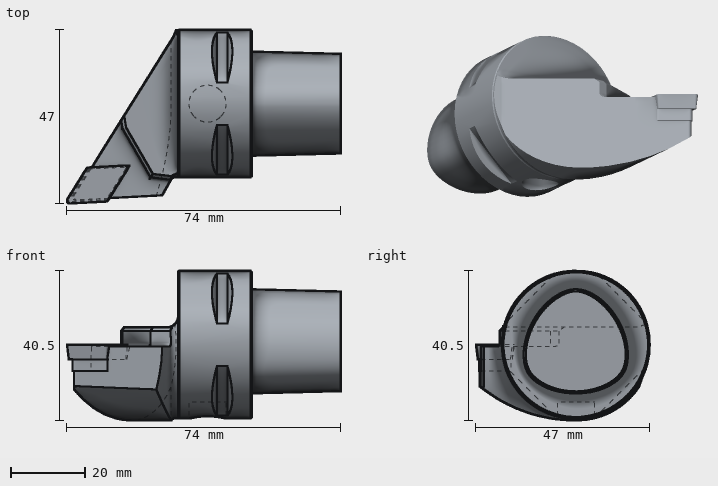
import cadquery as cq
import math


reach = 60.0

collar_radius = 20.0
collar_length = 20.0
collar_chamfer = 0.45
collar_front_chamfer_depth = 0.2
groove_center_x = -8.05
groove_floor_width = 2.75
groove_floor_radius = 17.6
groove_wall_angle = math.radians(30)
groove_count = 4
groove_overcut = 1.0
chip_hole_diameter = 10.0
chip_hole_x = -12.0
chip_hole_depth = 4.5

shank_length = 24.0
shank_radius = 14.1
shank_taper = 1 / 20
shank_end_radius = shank_radius - shank_length * shank_taper / 2
shank_lobe = 0.9
lobe_count = 3
shank_points = 24 * lobe_count

head_radius = 20.5
head_flank_radius = 2 * head_radius
flank_sweep = math.radians(45)
neck_radius = 19.9
neck_start_x = -21.5
neck_fillet = 1.2
head_back_slope = 0.56
deck_z = 4.72
deck_fillet = 2.9

ledge_z = -0.45
step_chamfer = 1.0
step_fillet = 0.9
step_corners = [(-34.96, -6.8), (-27.4, -19.9)]
step_top_angle = math.radians(99)
step_side_angle = math.radians(-7)

tip_x = -50.0
tip_y = -27.0
side_angle = math.radians(3)
nose_angle = math.radians(55)
lead_angle = side_angle + nose_angle
inscribed_diameter = 9.525
edge_length = inscribed_diameter / math.sin(nose_angle)
nose_radius = 0.8
insert_thickness = 3.97
clearance_angle = 7.0

seat_bottom_z = -7.15
seat_setback = 0.8
seat_back_setback = 0.3
lead_face_setback = 1.05
side_face_setback = 0.9

relief_angle = math.radians(67)
relief_start_y = 18.0


def move(point, angle, distance):
    """Point reached by going a distance from a point in the given direction of the XY plane."""
    return (point[0] + distance * math.cos(angle), point[1] + distance * math.sin(angle))


def rhombus(corner, side_length, lead_length):
    """Corners of a parallelogram whose edges run along the side and lead directions."""
    side_end = move(corner, side_angle, side_length)
    return [corner, side_end, move(side_end, lead_angle, lead_length), move(corner, lead_angle, lead_length)]


def set_back(corner, side_distance, lead_distance):
    """Corner shifted so that the side and lead edges through it move inward by the distances."""
    raised = move(corner, lead_angle, side_distance / math.sin(nose_angle))
    return move(raised, side_angle, lead_distance / math.sin(nose_angle))


nose_center = (tip_x + nose_radius, tip_y + nose_radius)
nose_corner = move(nose_center, side_angle + nose_angle / 2 + math.pi, nose_radius / math.sin(nose_angle / 2))
far_corner = rhombus(nose_corner, edge_length, edge_length)[2]


def shank_section(radius):
    points = []
    for i in range(shank_points):
        t = 2 * math.pi * i / shank_points
        width = radius + shank_lobe * math.cos(lobe_count * t)
        turn = lobe_count * shank_lobe * math.sin(lobe_count * t)
        along_lobe = width * math.cos(t) + turn * math.sin(t)
        across_lobe = width * math.sin(t) - turn * math.cos(t)
        points.append((across_lobe, along_lobe))
    return points


def make_shank():
    base = cq.Workplane("YZ").spline(shank_section(shank_radius), periodic=True).close()
    end = base.workplane(offset=shank_length).spline(shank_section(shank_end_radius), periodic=True).close()
    return end.loft(ruled=True, combine=True)


def make_collar():
    collar = cq.Workplane("YZ").circle(collar_radius).extrude(-collar_length)
    collar = collar.faces(">X").chamfer(collar_chamfer)
    collar = collar.faces("<X").chamfer(collar_chamfer, collar_front_chamfer_depth)

    height = collar_radius + groove_overcut - groove_floor_radius
    half_floor = groove_floor_width / 2
    half_mouth = half_floor + height * math.tan(groove_wall_angle)
    groove = (
        cq.Workplane("XZ", origin=(groove_center_x, 0, groove_floor_radius))
        .polyline([(-half_floor, 0), (half_floor, 0), (half_mouth, height), (-half_mouth, height)])
        .close()
        .extrude(collar_radius, both=True)
    )
    pitch = 360 / groove_count
    for i in range(groove_count):
        collar = collar.cut(groove.rotate((0, 0, 0), (1, 0, 0), (i + 0.5) * pitch))

    chip_hole = (
        cq.Workplane("XY", origin=(chip_hole_x, 0, -collar_radius))
        .circle(chip_hole_diameter / 2)
        .extrude(chip_hole_depth)
    )
    return collar.cut(chip_hole)


def head_section():
    def flank_point(angle):
        y = -head_flank_radius * math.sin(angle)
        return (y, head_flank_radius * (1 - math.cos(angle)) - head_radius)

    flank_end = flank_point(flank_sweep)
    circle_middle = head_radius * math.sqrt(0.5)
    return (
        cq.Workplane("YZ", origin=(-collar_length, 0, 0))
        .moveTo(head_radius, 0)
        .threePointArc((circle_middle, -circle_middle), (0, -head_radius))
        .threePointArc(flank_point(flank_sweep / 2), flank_end)
        .lineTo(flank_end[0], head_radius)
        .lineTo(head_radius, head_radius)
        .close()
        .extrude(-reach)
    )


def head_plan():
    """Prism bounded by the lead and side faces, rounded where they meet."""
    corner = set_back(nose_corner, side_face_setback, lead_face_setback)
    relief_start_distance = (relief_start_y - corner[1]) / math.sin(lead_angle)
    relief_start = move(corner, lead_angle, relief_start_distance)
    side_end = move(corner, side_angle, reach)
    plan = [
        corner,
        side_end,
        (side_end[0], reach),
        move(relief_start, relief_angle, reach),
        relief_start,
    ]
    prism = cq.Workplane("XY").polyline(plan).close().extrude(head_radius * 2, both=True)
    return prism.edges(cq.selectors.NearestToPointSelector((*corner, 0))).fillet(nose_radius)


def head_back_envelope():
    """Turned shape of the head's conical back and the neck in front of the collar."""
    profile = [
        (-reach, 0),
        (-reach, reach),
        (neck_start_x - head_back_slope * (reach - neck_radius), reach),
        (neck_start_x, neck_radius),
        (-collar_length, neck_radius),
        (-collar_length, 0),
    ]
    envelope = cq.Workplane("XY").polyline(profile).close().revolve(360, (0, 0, 0), (1, 0, 0))
    neck_edge = cq.selectors.NearestToPointSelector((neck_start_x, 0, 0))
    return envelope.edges("%CIRCLE").edges(neck_edge).fillet(neck_fillet)


def above_deck():
    """Space above the deck, rounded where the deck runs into the collar face."""
    inner = deck_fillet * (1 - math.sqrt(0.5))
    return (
        cq.Workplane("XZ")
        .moveTo(-reach, deck_z)
        .lineTo(-collar_length - deck_fillet, deck_z)
        .threePointArc((-collar_length - inner, deck_z + inner), (-collar_length, deck_z + deck_fillet))
        .lineTo(-collar_length, reach)
        .lineTo(-reach, reach)
        .close()
        .extrude(reach, both=True)
    )


def step_edges(solid, z):
    """Edges of the step's three walls at the given height."""
    side_middle = move(step_corners[1], step_side_angle, reach / 2)
    top_middle = move(step_corners[0], step_top_angle, reach / 2)
    wall_middle = tuple((a + b) / 2 for a, b in zip(*step_corners))
    edges = solid.newObject([])
    for middle in (top_middle, wall_middle, side_middle):
        edges = edges.add(solid.edges(cq.selectors.NearestToPointSelector((*middle, z))))
    return edges


def stepped_top():
    """Ledge with a raised plate beside it: chamfered on top and filleted into the ledge."""
    side_end = move(step_corners[1], step_side_angle, reach)
    top_end = move(step_corners[0], step_top_angle, reach)
    plan = [top_end, *step_corners, side_end, (side_end[0], top_end[1])]
    plate = cq.Workplane("XY", origin=(0, 0, ledge_z)).polyline(plan).close().extrude(deck_z - ledge_z)
    plate = step_edges(plate, deck_z).chamfer(step_chamfer)
    base = cq.Workplane("XY", origin=(0, 0, ledge_z)).rect(4 * reach, 4 * reach).extrude(-reach)
    step = step_edges(base.union(plate), ledge_z).fillet(step_fillet)
    return step.faces(">Z").wires().toPending().extrude(reach)


def make_head():
    head = head_section().intersect(head_plan()).intersect(head_back_envelope())
    return head.cut(above_deck()).intersect(stepped_top())


def make_pocket():
    corners = rhombus(far_corner, -2 * edge_length, -2 * edge_length)
    return cq.Workplane("XY").polyline(corners).close().extrude(-insert_thickness, taper=clearance_angle)


def make_seat():
    corner = set_back(nose_corner, seat_setback, seat_setback)
    length = edge_length - (seat_setback + seat_back_setback) / math.sin(nose_angle)
    return (
        cq.Workplane("XY", origin=(0, 0, seat_bottom_z))
        .polyline(rhombus(corner, length, length))
        .close()
        .extrude(-insert_thickness - seat_bottom_z)
        .edges("|Z")
        .fillet(nose_radius)
    )


def make_holder():
    holder = make_collar().union(make_shank()).union(make_head())
    return holder.cut(make_pocket()).union(make_seat())


def make_insert():
    corners = rhombus(nose_corner, edge_length, edge_length)
    outline = cq.Sketch().polygon([*corners, corners[0]])
    outline = outline.vertices().fillet(nose_radius)
    return cq.Workplane("XY").placeSketch(outline).extrude(-insert_thickness, taper=clearance_angle)


holder = make_holder()
insert = make_insert()
result = cq.Compound.makeCompound([holder.val(), insert.val()])